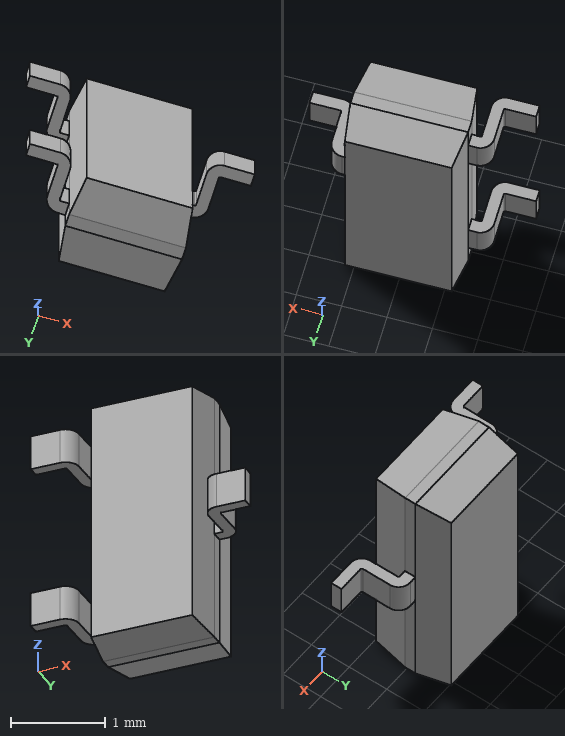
import cadquery as cq

housing_width = 1.3
housing_height = 2.9
housing_depth = 1.0
taper_inset = 0.06

lead_thickness = 0.14
lead_width = 0.4
lead_span = 2.5
lead_pitch = 1.902
shank_outer_x = 0.895
foot_protrusion = 0.1
outer_bend_radius = 0.155

inner_bend_radius = outer_bend_radius - lead_thickness
band_half_depth = lead_thickness / 2
front_y = -housing_depth / 2
sole_y = front_y - foot_protrusion


def tapered_block(direction):
    """Block that narrows from the band to the flat face on the -Y (-1) or +Y (+1) side."""
    return (
        cq.Workplane("XZ", origin=(0, direction * band_half_depth, 0))
        .rect(housing_width, housing_height)
        .workplane(offset=-direction * (housing_depth / 2 - band_half_depth))
        .rect(housing_width - 2 * taper_inset, housing_height - 2 * taper_inset)
        .loft(ruled=True)
    )


def make_housing_base():
    """Front half of the housing, including the band that the leads meet."""
    band = cq.Workplane("XY").box(housing_width, lead_thickness, housing_height)
    return band.union(tapered_block(-1))


def make_housing_cover():
    """Back half of the housing."""
    return tapered_block(1)


def make_lead(side, center_z):
    """Z-bent lead that meets the band on the -X (-1) or +X (+1) side."""
    root_x = side * housing_width / 2
    toe_x = side * lead_span / 2
    shank_outer = side * shank_outer_x
    shank_inner = side * (shank_outer_x - lead_thickness)
    profile = (
        cq.Workplane("XY", origin=(0, 0, center_z - lead_width / 2))
        .moveTo(root_x, band_half_depth)
        .lineTo(shank_outer, band_half_depth)
        .lineTo(shank_outer, sole_y + lead_thickness)
        .lineTo(toe_x, sole_y + lead_thickness)
        .lineTo(toe_x, sole_y)
        .lineTo(shank_inner, sole_y)
        .lineTo(shank_inner, -band_half_depth)
        .lineTo(root_x, -band_half_depth)
        .close()
    )
    lead = profile.extrude(lead_width)

    outer_corners = [(shank_outer, band_half_depth), (shank_inner, sole_y)]
    inner_corners = [(shank_inner, -band_half_depth), (shank_outer, sole_y + lead_thickness)]
    for corners, radius in ((outer_corners, outer_bend_radius), (inner_corners, inner_bend_radius)):
        for x, y in corners:
            corner_edge = cq.selectors.NearestToPointSelector((x, y, center_z))
            lead = lead.edges("|Z").edges(corner_edge).fillet(radius)
    return lead


housing_base = make_housing_base()
housing_cover = make_housing_cover()

lead_places = [(-1, -lead_pitch / 2), (-1, lead_pitch / 2), (1, 0)]
leads = [make_lead(side, center_z) for side, center_z in lead_places]

result = cq.Compound.makeCompound(
    [housing_base.val(), housing_cover.val(), *[lead.val() for lead in leads]]
)